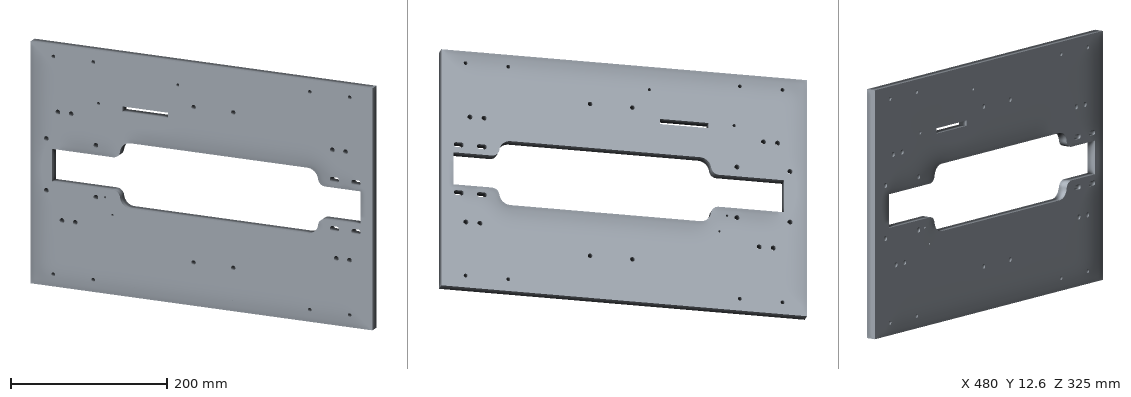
import cadquery as cq
import math

LENGTH = 480.0
THICKNESS = 12.6
HEIGHT = 325.0

NECK_LEFT = -210.2
NECK_RIGHT = 223.6
NECK_HALF_HEIGHT = 22.0
BAY_LEFT = -114.3
BAY_RIGHT = 163.7
BAY_HALF_HEIGHT = 44.0
BAY_CORNER_RADIUS = 15.0
NECK_CORNER_RADIUS = 10.0

SLIT_LENGTH = 64.0
SLIT_HEIGHT = 7.0
SLIT_CENTER = (-78.8, 88.5)

CORNER_DIAMETER = 5.0
CORNER_PAIR_CENTERS = (-180.0, 180.0)
CORNER_PAIR_SPACING = 56.0
CORNER_Z = 146.2

MIDDLE_DIAMETER = 6.0
MIDDLE_XS = (-11.0, 44.6)
MIDDLE_Z = 104.4

MOUNT_DIAMETER = 6.5
LEFT_SQUARE_XS = (-217.8, -148.2)
LEFT_SQUARE_Z = 34.8
SIDE_PAIR_SPACING = 18.5
SIDE_PAIR_Z = 72.5
UPPER_PAIR_CENTERS = (-192.3, 193.0)
LOWER_PAIR_CENTERS = (-186.6, 198.4)

SLOT_LENGTH = 13.0
SLOT_WIDTH = MOUNT_DIAMETER
SLOT_XS = (186.7, 217.0)
SLOT_Z = 33.0

PIN_DIAMETER = 4.2
PIN_POINTS = [(-33.3, 131.0), (-144.5, 91.5)]
PILOT_DIAMETER = 3.0
PILOT_POINTS = [(-135.3, -33.4), (-125.1, -55.7)]


def face_plane():
    """Mid-plane of the plate; local axes are X and Z."""
    return cq.Workplane("XZ")


def through(profile):
    """Extrude a closed profile through the whole thickness."""
    return profile.extrude(THICKNESS / 2, both=True)


def holes(points, diameter):
    return through(face_plane().pushPoints(points).circle(diameter / 2))


def pair_xs(centers, spacing):
    """X positions of two holes placed symmetrically about each centre."""
    return [center + side * spacing / 2 for center in centers for side in (-1, 1)]


def row(xs, z):
    return [(x, z) for x in xs]


def mirrored_rows(xs, z):
    """The same X positions at +z and -z."""
    return row(xs, z) + row(xs, -z)


def window():
    """Central window: the upper half with its S-shaped steps, mirrored below."""
    step_rise = BAY_HALF_HEIGHT - NECK_HALF_HEIGHT
    radius_sum = NECK_CORNER_RADIUS + BAY_CORNER_RADIUS
    step_run = math.sqrt(radius_sum**2 - (radius_sum - step_rise) ** 2)

    neck_share = NECK_CORNER_RADIUS / radius_sum
    neck_run = step_run * neck_share
    bay_run = step_run - neck_run
    meeting_z = NECK_HALF_HEIGHT + step_rise * neck_share

    upper_half = through(
        face_plane()
        .moveTo(NECK_LEFT, 0)
        .lineTo(NECK_LEFT, NECK_HALF_HEIGHT)
        .lineTo(BAY_LEFT - neck_run, NECK_HALF_HEIGHT)
        .tangentArcPoint((BAY_LEFT, meeting_z), relative=False)
        .tangentArcPoint((BAY_LEFT + bay_run, BAY_HALF_HEIGHT), relative=False)
        .lineTo(BAY_RIGHT - bay_run, BAY_HALF_HEIGHT)
        .tangentArcPoint((BAY_RIGHT, meeting_z), relative=False)
        .tangentArcPoint((BAY_RIGHT + neck_run, NECK_HALF_HEIGHT), relative=False)
        .lineTo(NECK_RIGHT, NECK_HALF_HEIGHT)
        .lineTo(NECK_RIGHT, 0)
        .close()
    )
    return upper_half.union(upper_half.mirror("XY"))


def slit():
    return through(face_plane().center(*SLIT_CENTER).rect(SLIT_LENGTH, SLIT_HEIGHT))


def corner_holes():
    xs = pair_xs(CORNER_PAIR_CENTERS, CORNER_PAIR_SPACING)
    return holes(mirrored_rows(xs, CORNER_Z), CORNER_DIAMETER)


def mounting_holes():
    points = mirrored_rows(LEFT_SQUARE_XS, LEFT_SQUARE_Z)
    points += row(pair_xs(UPPER_PAIR_CENTERS, SIDE_PAIR_SPACING), SIDE_PAIR_Z)
    points += row(pair_xs(LOWER_PAIR_CENTERS, SIDE_PAIR_SPACING), -SIDE_PAIR_Z)
    return holes(points, MOUNT_DIAMETER)


def middle_holes():
    return holes(mirrored_rows(MIDDLE_XS, MIDDLE_Z), MIDDLE_DIAMETER)


def adjustment_slots():
    points = mirrored_rows(SLOT_XS, SLOT_Z)
    return through(face_plane().pushPoints(points).slot2D(SLOT_LENGTH, SLOT_WIDTH))


plate = cq.Workplane("XY").box(LENGTH, THICKNESS, HEIGHT)
result = (
    plate.cut(window())
    .cut(slit())
    .cut(corner_holes())
    .cut(mounting_holes())
    .cut(middle_holes())
    .cut(adjustment_slots())
    .cut(holes(PIN_POINTS, PIN_DIAMETER))
    .cut(holes(PILOT_POINTS, PILOT_DIAMETER))
)